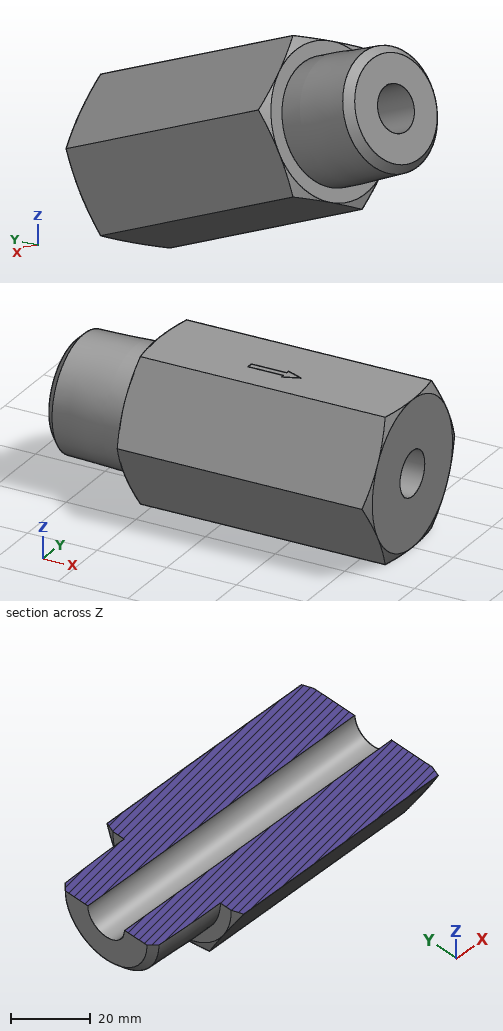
import cadquery as cq
import math

total_length = 96.5
hex_across_flats = 41.3
hex_start = 23.8
hex_length = total_length - hex_start
hex_across_corners = hex_across_flats / math.cos(math.radians(30))

bevel_angle = 20.0
bevel_drop = (hex_across_corners - hex_across_flats) / 2 * math.tan(math.radians(bevel_angle))

spigot_diameter = 33.7
taper_end = 17.2
lead_in = 2.1
taper_ratio = 1 / 16
taper_small_diameter = spigot_diameter - (taper_end - lead_in) * taper_ratio
tip_diameter = taper_small_diameter - 2 * lead_in

bore_diameter = 12.7

arrow_tail_x = 51.35
arrow_shoulder_x = 61.5
arrow_tip_x = 66.1
arrow_center_y = -2.8
arrow_shaft_width = 1.7
arrow_head_width = 3.7
arrow_depth = 0.1


def make_spigot():
    """Revolve the tapered spigot about the X axis."""
    profile = (
        cq.Workplane("XY")
        .moveTo(0, 0)
        .lineTo(0, tip_diameter / 2)
        .lineTo(lead_in, taper_small_diameter / 2)
        .lineTo(taper_end, spigot_diameter / 2)
        .lineTo(hex_start, spigot_diameter / 2)
        .lineTo(hex_start, 0)
        .close()
    )
    return profile.revolve(360, (0, 0), (1, 0))


def make_hex_body():
    """Hexagonal bar with corners on +Y and -Y, bevelled at both ends."""
    bar = (
        cq.Workplane("YZ")
        .workplane(offset=hex_start)
        .polygon(6, hex_across_corners)
        .extrude(hex_length)
    )
    envelope = (
        cq.Workplane("XY")
        .moveTo(hex_start, 0)
        .lineTo(hex_start, hex_across_flats / 2)
        .lineTo(hex_start + bevel_drop, hex_across_corners / 2)
        .lineTo(total_length - bevel_drop, hex_across_corners / 2)
        .lineTo(total_length, hex_across_flats / 2)
        .lineTo(total_length, 0)
        .close()
        .revolve(360, (0, 0), (1, 0))
    )
    return bar.intersect(envelope)


def make_bore():
    """Through passage along the X axis."""
    return cq.Workplane("YZ").circle(bore_diameter / 2).extrude(total_length)


def make_arrow():
    """Shallow cutter for the flow arrow, sunk below the top flat."""
    return (
        cq.Workplane("XY")
        .workplane(offset=hex_across_flats / 2 - arrow_depth)
        .moveTo(arrow_tail_x, arrow_center_y - arrow_shaft_width / 2)
        .lineTo(arrow_shoulder_x, arrow_center_y - arrow_shaft_width / 2)
        .lineTo(arrow_shoulder_x, arrow_center_y - arrow_head_width / 2)
        .lineTo(arrow_tip_x, arrow_center_y)
        .lineTo(arrow_shoulder_x, arrow_center_y + arrow_head_width / 2)
        .lineTo(arrow_shoulder_x, arrow_center_y + arrow_shaft_width / 2)
        .lineTo(arrow_tail_x, arrow_center_y + arrow_shaft_width / 2)
        .close()
        .extrude(2 * arrow_depth)
    )


result = make_hex_body().union(make_spigot()).cut(make_bore()).cut(make_arrow())